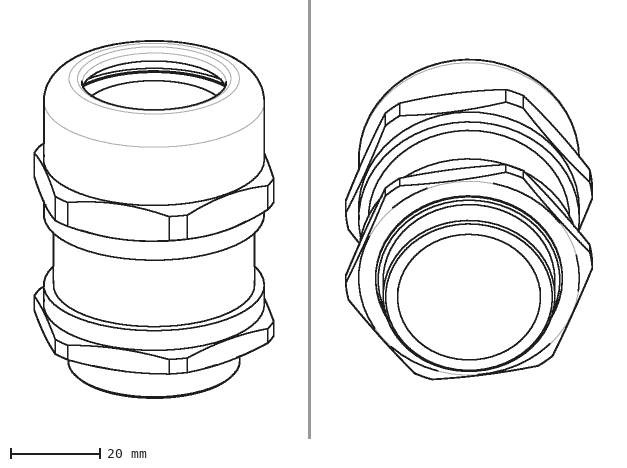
import cadquery as cq
import math


total_height = 70.35
hex_across_flats = 50.0
hex_corner_diameter = 55.5
collar_radius = 24.75
cap_bottom_z = 36.8
spigot_radius = 21.95

bore_radius = 16.05
thread_radius = 19.3
thread_chamfer = 0.55
seat_bottom_z = 8.0
seat_radius = 20.95
seat_chamfer = 0.55
body_hex_bottom_z = 9.0
body_hex_top_z = 14.55
body_hex_bevel = 1.0
flange_top_z = 19.4
barrel_radius = 22.6
body_top_z = 62.8
body_recess_radius = 20.55
body_recess_depth = 0.35

cap_hex_bottom_z = 41.4
cap_hex_top_z = 50.3
cap_hex_bevel = 1.5
cavity_top_z = 67.25
mouth_radius = 16.2
mouth_fillet = 1.05
dome_fillet = 5.6


def cylinder(radius, bottom_z, top_z):
    """Solid cylinder on the Z axis between two heights."""
    return cq.Workplane("XY").workplane(offset=bottom_z).circle(radius).extrude(top_z - bottom_z)


def beveled_hexagon(bottom_z, top_z, bevel_height):
    """Hexagon with flats facing +X and -X, its corners turned round and beveled on both ends."""
    across_corners = hex_across_flats / math.cos(math.pi / 6)
    prism = (
        cq.Workplane("XY")
        .workplane(offset=bottom_z)
        .polygon(6, across_corners)
        .extrude(top_z - bottom_z)
        .rotate((0, 0, 0), (0, 0, 1), 30)
    )
    corner_radius = hex_corner_diameter / 2
    turned_blank = (
        cq.Workplane("XZ")
        .polyline([
            (0, bottom_z),
            (collar_radius, bottom_z),
            (corner_radius, bottom_z + bevel_height),
            (corner_radius, top_z - bevel_height),
            (collar_radius, top_z),
            (0, top_z),
        ])
        .close()
        .revolve(360, (0, 0, 0), (0, 1, 0))
    )
    return prism.intersect(turned_blank)


def make_body():
    """Bored body: thread, seat, hexagon, flange, barrel and the spigot inside the cap nut."""
    thread = cylinder(thread_radius, 0, seat_bottom_z).faces("<Z").chamfer(thread_chamfer)
    seat = cylinder(seat_radius, seat_bottom_z, body_hex_bottom_z).faces("<Z").chamfer(seat_chamfer)
    hexagon = beveled_hexagon(body_hex_bottom_z, body_hex_top_z, body_hex_bevel)
    flange = cylinder(collar_radius, body_hex_top_z, flange_top_z)
    barrel = cylinder(barrel_radius, flange_top_z, cap_bottom_z)
    spigot = cylinder(spigot_radius, cap_bottom_z, body_top_z)
    outside = thread.union(seat).union(hexagon).union(flange).union(barrel).union(spigot)

    bore = cylinder(bore_radius, 0, body_top_z)
    top_recess = cylinder(body_recess_radius, body_top_z - body_recess_depth, body_top_z)
    return outside.cut(bore).cut(top_recess)


def make_cap_nut():
    """Domed cap nut with a hexagon, hollowed to take the spigot and open at the mouth."""
    shell = cylinder(collar_radius, cap_bottom_z, total_height).faces(">Z").edges().fillet(dome_fillet)
    hexagon = beveled_hexagon(cap_hex_bottom_z, cap_hex_top_z, cap_hex_bevel)
    cavity = cylinder(spigot_radius, cap_bottom_z, cavity_top_z)
    mouth = cylinder(mouth_radius, cavity_top_z, total_height)
    nut = shell.union(hexagon).cut(cavity).cut(mouth)
    mouth_edge = cq.selectors.RadiusNthSelector(0)
    return nut.faces(">Z").edges(mouth_edge).fillet(mouth_fillet)


body = make_body()
cap_nut = make_cap_nut()

result = cq.Compound.makeCompound([body.solids().val(), cap_nut.solids().val()])